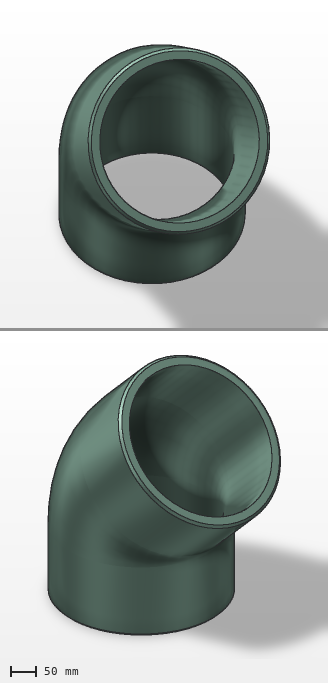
import cadquery as cq
import math

outer_diameter = 359.0
bore_diameter = 315.0
bend_angle = 45.0
outer_bend_radius = 195.0
bore_bend_radius = 158.5
spigot_length = 151.0
chamfer_size = 5.0

angle = math.radians(bend_angle)
end_direction = cq.Vector(math.sin(angle), 0, math.cos(angle))
axis_to_end = spigot_length + outer_bend_radius * math.tan(angle / 2)
axis_crossing = cq.Vector(0, 0, axis_to_end)


def straight(diameter, length, start, direction):
    """Straight cylinder from a start point along a direction."""
    return cq.Workplane(cq.Solid.makeCylinder(diameter / 2, length, start, direction))


def bend(diameter, radius, start_height):
    """Torus segment turning from +Z towards +X."""
    return (
        cq.Workplane("XY", origin=(0, 0, start_height))
        .circle(diameter / 2)
        .revolve(bend_angle, (radius, 0, 0), (radius, 1, 0))
    )


def elbow(diameter, bend_radius, end_chamfer=0):
    """Solid elbow, with optional chamfers on the rims of its two ends."""
    tangent_length = bend_radius * math.tan(angle / 2)
    length = axis_to_end - tangent_length
    bend_end = axis_crossing + end_direction * tangent_length
    lower = straight(diameter, length, cq.Vector(0, 0, 0), cq.Vector(0, 0, 1))
    upper = straight(diameter, length, bend_end, end_direction)
    if end_chamfer:
        far_face = cq.selectors.DirectionMinMaxSelector(end_direction)
        lower = lower.faces("<Z").edges().chamfer(end_chamfer)
        upper = upper.faces(far_face).edges().chamfer(end_chamfer)
    return lower.union(bend(diameter, bend_radius, length)).union(upper)


outside = elbow(outer_diameter, outer_bend_radius, chamfer_size)
bore = elbow(bore_diameter, bore_bend_radius)
result = outside.cut(bore)